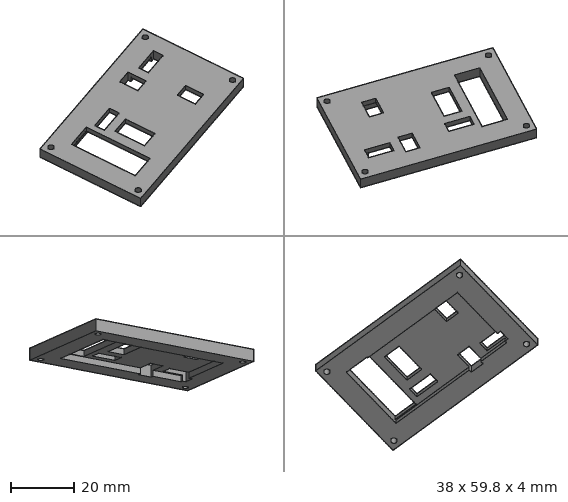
import cadquery as cq

panel_width = 37.95
panel_length = 59.8
panel_thickness = 4.0
sheet_thickness = panel_thickness / 2

screw_hole_diameter = 2.0
screw_hole_spacing_x = 32.9
screw_hole_spacing_y = 54.75

slot_size = (3.6, 8.55)
button_size = (6.75, 4.8)
connector_size = (11.05, 6.05)
display_size = (24.0, 8.55)
display_center = (0.35, -18.55)

windows = [
    (slot_size, (-9.4, 19.8)),
    (slot_size, (-7.95, -7.95)),
    (button_size, (8.6, 15.0)),
    (button_size, (-9.7, 9.8)),
    (connector_size, (2.45, -7.7)),
    (display_size, display_center),
]

opening_width = 24.05
opening_length = display_size[1] - 2 * display_center[1]


def block(size, center, height):
    """Rectangular block standing on the bottom face of the panel."""
    return cq.Workplane("XY").center(*center).rect(*size).extrude(height)


panel = block((panel_width, panel_length), (0, 0), panel_thickness)

panel = panel.cut(block((opening_width, opening_length), (0, 0), sheet_thickness))

for size, center in windows:
    panel = panel.cut(block(size, center, panel_thickness))

screw_holes = (
    cq.Workplane("XY")
    .rect(screw_hole_spacing_x, screw_hole_spacing_y, forConstruction=True)
    .vertices()
    .circle(screw_hole_diameter / 2)
    .extrude(panel_thickness)
)

result = panel.cut(screw_holes)